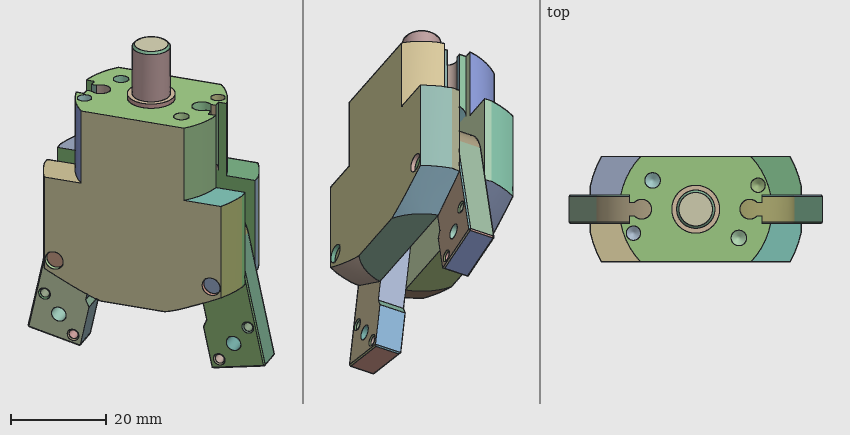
import cadquery as cq
import math

HOUSING_DEPTH = 22.0
HOUSING_WIDTH = 44.1
LOWER_RADIUS = 22.55
UPPER_RADIUS = 15.9
STEP_Z = 26.7
TOP_Z = 43.5
BOTTOM_CONE_ANGLE = 30.0
BOTTOM_CONE_HEIGHT = 5.43

COLLAR_RADIUS = 5.0
COLLAR_HEIGHT = 1.0
SHANK_RADIUS = 4.0
SHANK_TOP_Z = 56.0
SHANK_CHAMFER = 0.5

SLOT_WIDTH = 6.0
SLOT_ROOF_Z = 29.7
SLOT_ROOF_FILLET = 2.0
GROOVE_FLOOR_X = 13.86
GROOVE_NECK_WIDTH = 2.9
GROOVE_BORE_DIAMETER = 4.13
GROOVE_BORE_X = 11.28

SCREW_HOLE_DIAMETER = 3.24
SCREW_HOLE_XY = (-9.0, 6.0)
DOWEL_HOLE_DIAMETER = 3.0
DOWEL_HOLE_XY = (13.0, 5.0)
MOUNT_HOLE_DEPTH = 7.0
DRILL_POINT_ANGLE = 118.0

PIN_DIAMETER = 4.0
PIN_X = 17.5
PIN_Z = 7.65
PIN_RECESS = 1.0

JAW_TILT = 12.0
JAW_OUTER_X = -4.5
JAW_NECK_X = 6.45
JAW_TIP_X = 7.5
JAW_BOTTOM_Z = -22.15
JAW_SHOULDER_LOW_Z = -12.5
JAW_SHOULDER_HIGH_Z = -11.0
JAW_HEAD_RADIUS = 10.0
JAW_HEAD_Z = 6.05
JAW_EDGE_CHAMFER = 0.3
JAW_DOWEL_DIAMETER = 3.24
JAW_DOWEL_XZ = (1.5, -16.6)
JAW_THREAD_DIAMETER = 2.0
JAW_THREAD_MOUTH_DIAMETER = 2.6
JAW_THREAD_OFFSET_X = 4.0
JAW_THREAD_OFFSET_Z = 3.5

SIDES = (-1, 1)


def y_cylinder(x, z, diameter, length):
    """Cylinder along Y, centred on the XZ plane."""
    return (
        cq.Workplane("XZ", origin=(x, length / 2, z))
        .circle(diameter / 2)
        .extrude(length)
    )


def drill_hole(x, y, diameter):
    """Cutter for a blind hole with a conical drill point, sunk from the housing top."""
    radius = diameter / 2
    point_depth = radius / math.tan(math.radians(DRILL_POINT_ANGLE / 2))
    return (
        cq.Workplane("XZ")
        .polyline([
            (0, 0),
            (radius, 0),
            (radius, -MOUNT_HOLE_DEPTH),
            (0, -MOUNT_HOLE_DEPTH - point_depth),
        ])
        .close()
        .revolve(360, (0, 0, 0), (0, 1, 0))
        .translate((x, y, TOP_Z))
    )


def make_housing_blank():
    """Stepped turned body with a coned bottom, trimmed to a slab."""
    bottom_radius = LOWER_RADIUS - BOTTOM_CONE_HEIGHT / math.tan(math.radians(BOTTOM_CONE_ANGLE))
    turned = (
        cq.Workplane("XZ")
        .polyline([
            (0, 0),
            (bottom_radius, 0),
            (LOWER_RADIUS, BOTTOM_CONE_HEIGHT),
            (LOWER_RADIUS, STEP_Z),
            (UPPER_RADIUS, STEP_Z),
            (UPPER_RADIUS, TOP_Z),
            (0, TOP_Z),
        ])
        .close()
        .revolve(360, (0, 0, 0), (0, 1, 0))
    )
    slab = cq.Workplane("XY").box(HOUSING_WIDTH, HOUSING_DEPTH, TOP_Z, centered=(True, True, False))
    return turned.intersect(slab)


def make_shank():
    """Collar and chamfered shank standing on the housing top."""
    collar = cq.Workplane("XY", origin=(0, 0, TOP_Z)).circle(COLLAR_RADIUS).extrude(COLLAR_HEIGHT)
    shank = (
        cq.Workplane("XY", origin=(0, 0, TOP_Z))
        .circle(SHANK_RADIUS)
        .extrude(SHANK_TOP_Z - TOP_Z)
        .faces(">Z")
        .chamfer(SHANK_CHAMFER)
    )
    return collar.union(shank)


def make_jaw_slot():
    """Cutter for the slot through the full width, open at the bottom, with rounded roof corners."""
    return (
        cq.Workplane("XY")
        .box(HOUSING_WIDTH, SLOT_WIDTH, SLOT_ROOF_Z, centered=(True, True, False))
        .edges("|X and >Z")
        .fillet(SLOT_ROOF_FILLET)
    )


def make_groove(side):
    """Cutter for one end groove: a wide mouth, a narrow neck and a round bore, running up to the top."""
    start_z = SLOT_ROOF_Z - SLOT_ROOF_FILLET
    height = TOP_Z - start_z
    mouth_depth = UPPER_RADIUS - GROOVE_FLOOR_X
    neck_length = UPPER_RADIUS - GROOVE_BORE_X
    mouth = (
        cq.Workplane("XY", origin=(side * (GROOVE_FLOOR_X + mouth_depth / 2), 0, start_z))
        .rect(mouth_depth, SLOT_WIDTH)
        .extrude(height)
    )
    neck = (
        cq.Workplane("XY", origin=(side * (GROOVE_BORE_X + neck_length / 2), 0, start_z))
        .rect(neck_length, GROOVE_NECK_WIDTH)
        .extrude(height)
    )
    bore = (
        cq.Workplane("XY", origin=(side * GROOVE_BORE_X, 0, start_z))
        .circle(GROOVE_BORE_DIAMETER / 2)
        .extrude(height)
    )
    return mouth.union(neck).union(bore)


def make_housing():
    housing = make_housing_blank().union(make_shank()).cut(make_jaw_slot())
    for side in SIDES:
        housing = housing.cut(make_groove(side))
        housing = housing.cut(y_cylinder(side * PIN_X, PIN_Z, PIN_DIAMETER, HOUSING_DEPTH))
        for (x, y), diameter in (
            (SCREW_HOLE_XY, SCREW_HOLE_DIAMETER),
            (DOWEL_HOLE_XY, DOWEL_HOLE_DIAMETER),
        ):
            housing = housing.cut(drill_hole(side * x, side * y, diameter))
    return housing


def make_pin(side):
    """Pivot pin, set slightly below both housing faces."""
    return y_cylinder(side * PIN_X, PIN_Z, PIN_DIAMETER, HOUSING_DEPTH - 2 * PIN_RECESS)


def make_jaw_plate():
    """Finger with a round head tangent to the outer side; bevelled there and around the tip."""
    head_x = JAW_OUTER_X + JAW_HEAD_RADIUS
    neck_offset = JAW_NECK_X - head_x
    head_end_z = JAW_HEAD_Z + math.sqrt(JAW_HEAD_RADIUS**2 - neck_offset**2)
    arc_middle = JAW_HEAD_RADIUS * math.sqrt(0.5)
    plate = (
        cq.Workplane("XZ", origin=(0, SLOT_WIDTH / 2, 0))
        .moveTo(JAW_OUTER_X, JAW_BOTTOM_Z)
        .lineTo(JAW_OUTER_X, JAW_HEAD_Z)
        .threePointArc((head_x - arc_middle, JAW_HEAD_Z + arc_middle), (JAW_NECK_X, head_end_z))
        .lineTo(JAW_NECK_X, JAW_SHOULDER_HIGH_Z)
        .lineTo(JAW_TIP_X, JAW_SHOULDER_LOW_Z)
        .lineTo(JAW_TIP_X, JAW_BOTTOM_Z)
        .close()
        .extrude(SLOT_WIDTH)
    )
    side_edges = plate.faces("<X").edges("|Z")
    tip_edges = plate.faces("<Z").edges()
    head_arcs = plate.edges("%CIRCLE")
    return side_edges.add(tip_edges).add(head_arcs).chamfer(JAW_EDGE_CHAMFER)


def make_thread_hole(x, z):
    """Cutter for a through hole, countersunk at both faces of the jaw."""
    radius = JAW_THREAD_DIAMETER / 2
    mouth_radius = JAW_THREAD_MOUTH_DIAMETER / 2
    half_width = SLOT_WIDTH / 2
    sink_y = half_width - (mouth_radius - radius)
    return (
        cq.Workplane("XY")
        .polyline([
            (0, -half_width),
            (mouth_radius, -half_width),
            (radius, -sink_y),
            (radius, sink_y),
            (mouth_radius, half_width),
            (0, half_width),
        ])
        .close()
        .revolve(360, (0, 0, 0), (0, 1, 0))
        .translate((x, 0, z))
    )


def make_jaw(side):
    dowel_x, dowel_z = JAW_DOWEL_XZ
    jaw = make_jaw_plate()
    jaw = jaw.cut(y_cylinder(0, 0, PIN_DIAMETER, SLOT_WIDTH))
    jaw = jaw.cut(y_cylinder(dowel_x, dowel_z, JAW_DOWEL_DIAMETER, SLOT_WIDTH))
    for sign in SIDES:
        x = dowel_x + sign * JAW_THREAD_OFFSET_X
        z = dowel_z - sign * JAW_THREAD_OFFSET_Z
        jaw = jaw.cut(make_thread_hole(x, z))
    jaw = jaw.rotate((0, 0, 0), (0, 1, 0), JAW_TILT).translate((-PIN_X, 0, PIN_Z))
    if side > 0:
        jaw = jaw.mirror("YZ")
    return jaw


housing = make_housing()
pins = [make_pin(side).val() for side in SIDES]
jaws = [make_jaw(side).val() for side in SIDES]

result = cq.Compound.makeCompound([housing.val(), *pins, *jaws])